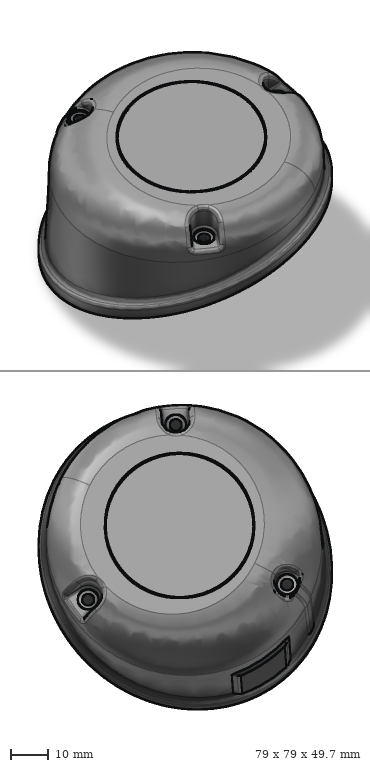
import cadquery as cq
import math


rim_radius = 39.5
rim_tilt = 21.9
rim_thickness = 4.46
rim_top_round = 1.2
rim_bottom_round = 0.5
rim_fillet = 1.9
corner_drop = 0.24

top_z = 49.65
wall_axis_x = 0.4
wall_top_radius = 36.6
wall_draft = 2.0
crown_radius_low_side = 16.0
crown_radius_high_side = 8.7

ring_x = 2.0
ring_y = -0.6
ring_radius = 20.15
ring_width = 0.3
ring_depth = 0.5

screw_hole_radius = 1.6
seat_radius = 2.8
seat_depth = 0.6
pocket_floor_round = 0.5
pocket_mouth_round = 1.3
rib_angle = 180
rib_pocket_floor_z = 43.5
side_pocket_floor_z = 42.35
pockets = [
    (rib_angle, 30.85, rib_pocket_floor_z, 3.45),
    (60, 31.1, side_pocket_floor_z, 3.75),
    (-60, 31.1, side_pocket_floor_z, 3.75),
]

rib_height = 0.22
rib_crest_width = 1.9
rib_foot_width = 3.4
rib_sink = 0.5
rib_end_elevation = 50

panel_angle = 150.6
panel_height = 0.6
panel_crest_width = 15.2
panel_foot_width = 18.7
panel_crest_z = 27.3
panel_foot_z = 29.0
panel_sink = 1.0
panel_corner_round = 1.5
panel_crest_round = 3.0

slope = math.tan(math.radians(rim_tilt))
draft_slope = math.tan(math.radians(wall_draft))
base_mid_z = rim_radius * slope - corner_drop
rim_rise = rim_thickness / math.cos(math.radians(rim_tilt))
below_z = -5.0
reach = 100.0
tolerance = 1e-3
loose_tolerance = 0.02


def wall_radius(z):
    """Radius of the drafted wall at height z."""
    return wall_top_radius + (top_z - z) * draft_slope


def wall_gap(point):
    """Horizontal distance of a point outside the drafted wall, as placed on the part."""
    return math.hypot(point.x - wall_axis_x, point.y) - wall_radius(point.z)


def around_wall(shape, angle):
    """Turn a shape made along +X from the Z axis to its direction around the wall axis."""
    return shape.rotate((0, 0, 0), (0, 0, 1), angle).translate((wall_axis_x, 0, 0))


def wall_plane(distance):
    """Plane whose normal follows the wall's generator, with local x pointing outward."""
    return cq.Plane((distance, 0, 0), (1, 0, draft_slope), (-draft_slope, 0, 1))


def above_base(lift):
    """Everything above the tilted base plane, raised by lift along Z."""
    z_mid = base_mid_z + lift
    return (
        cq.Workplane("XZ", origin=(0, reach, 0))
        .moveTo(-reach, z_mid - reach * slope)
        .lineTo(reach, z_mid + reach * slope)
        .lineTo(reach, 2 * reach)
        .lineTo(-reach, 2 * reach)
        .close()
        .extrude(2 * reach)
    )


def dome():
    """Drafted body whose crown round grows steadily from +X to -X."""
    profile = (
        cq.Workplane("XZ")
        .polyline([
            (0, below_z),
            (wall_radius(below_z), below_z),
            (wall_top_radius, top_z),
            (0, top_z),
        ])
        .close()
    )
    half = profile.revolve(180, (0, 0, 0), (0, 1, 0))
    body = half.union(half.mirror("XZ"), clean=False).val().Solids()[0]
    crown = next(
        e for e in body.Edges()
        if e.geomType() == "CIRCLE" and e.Center().z > top_z - tolerance
    )
    fillet = cq.occ_impl.shapes.BRepFilletAPI_MakeFillet(body.wrapped)
    fillet.Add(crown.wrapped)
    contour = 1
    for vertex in crown.Vertices():
        radius = crown_radius_high_side if vertex.X > 0 else crown_radius_low_side
        fillet.SetRadius(radius, contour, vertex.wrapped)
    rounded = cq.Shape.cast(fillet.Shape()).Solids()[0]
    return cq.Workplane(rounded).translate((wall_axis_x, 0, 0))


def flange():
    """Round disc cut parallel to the tilted base plane, with upright sides."""
    disc = cq.Workplane("XY", origin=(0, 0, below_z)).circle(rim_radius).extrude(top_z)
    disc = disc.intersect(above_base(0)).cut(above_base(rim_rise))
    disc = disc.faces("<Z").edges("not %LINE").fillet(rim_bottom_round)
    return disc.faces(">Z").edges("not %LINE").fillet(rim_top_round)


def blend_into_flange(body):
    """Round the inside corner where the wall meets the flange top."""

    def in_corner(point):
        lift = point.z - (base_mid_z + rim_rise + point.x * slope)
        return abs(lift) < tolerance and abs(wall_gap(point)) < tolerance

    corner = [
        e for e in body.edges().vals()
        if all(in_corner(e.positionAt(t)) for t in (0, 0.5, 1))
    ]
    return body.newObject(corner).fillet(rim_fillet)


def cut_pocket(body, angle, screw_distance, floor_z, half_width):
    """Cut a screw pocket that opens outward, with a rounded floor and mouth."""
    slot = (
        cq.Workplane("XY", origin=(screw_distance, 0, floor_z))
        .moveTo(0, half_width)
        .threePointArc((-half_width, 0), (0, -half_width))
        .hLine(reach)
        .vLine(2 * half_width)
        .close()
        .extrude(top_z)
    )
    slot = slot.faces("<Z").edges("not >X").fillet(pocket_floor_round)
    slot = around_wall(slot, angle)
    skin = body.val().Shells()[0]

    def at_mouth(edge):
        middle = cq.Vertex.makeVertex(*edge.positionAt(0.5).toTuple())
        return slot.val().distance(middle) < tolerance and skin.distance(middle) < tolerance

    body = body.cut(slot)
    mouth = [e for e in body.edges().vals() if at_mouth(e)]
    return body.newObject(mouth).fillet(pocket_mouth_round)


def screw_hole(angle, screw_distance, floor_z):
    """Cutter for one screw: a shallow counterbore over a through hole."""
    floor_centre = cq.Workplane("XY", origin=(screw_distance, 0, floor_z))
    seat = floor_centre.circle(seat_radius).extrude(-seat_depth)
    hole = floor_centre.circle(screw_hole_radius).extrude(below_z - floor_z)
    return around_wall(seat.union(hole), angle)


def rib():
    """Low trapezoid rib that follows the wall and the crown arc up to its pocket floor."""
    radius = crown_radius_low_side
    start = math.radians(wall_draft)
    end = math.radians(rib_end_elevation)
    centre_z = top_z - radius
    centre_x = wall_radius(centre_z) - radius / math.cos(start)

    def on_crown(elevation):
        return (
            centre_x + radius * math.cos(elevation),
            centre_z + radius * math.sin(elevation),
        )

    path = (
        cq.Workplane("XZ")
        .moveTo(wall_radius(0), 0)
        .lineTo(*on_crown(start))
        .threePointArc(on_crown((start + end) / 2), on_crown(end))
    )
    widening = (rib_foot_width - rib_crest_width) / rib_height
    half_crest = rib_crest_width / 2
    half_root = (rib_foot_width + widening * rib_sink) / 2
    section = (
        cq.Workplane(wall_plane(wall_radius(0)))
        .polyline([
            (-rib_sink, -half_root),
            (rib_height, -half_crest),
            (rib_height, half_crest),
            (-rib_sink, half_root),
        ])
        .close()
    )
    below_floor = cq.Workplane("XY").box(2 * reach, reach, 2 * rib_pocket_floor_z)
    return around_wall(section.sweep(path).intersect(below_floor), rib_angle)


def panel():
    """Raised panel on the wall with sloped sides, a sloped top and rounded crest edges."""
    buried_rise = (panel_foot_z - panel_crest_z) * panel_sink / panel_height
    ring_top_z = panel_foot_z + buried_rise
    ring = (
        cq.Workplane("XZ")
        .polyline([
            (wall_radius(0) - panel_sink, 0),
            (wall_radius(0) + panel_height, 0),
            (wall_radius(panel_crest_z) + panel_height, panel_crest_z),
            (wall_radius(ring_top_z) - panel_sink, ring_top_z),
        ])
        .close()
        .revolve(360, (0, 0, 0), (0, 1, 0))
    )
    half_crest = panel_crest_width / 2
    half_foot = panel_foot_width / 2
    foot_depth = math.sqrt(wall_radius(0) ** 2 - half_foot ** 2)
    crest_depth = math.sqrt((wall_radius(0) + panel_height) ** 2 - half_crest ** 2)
    inner_depth = foot_depth - panel_sink
    outer_depth = wall_radius(0) + 2 * panel_height
    bar = (
        cq.Workplane(wall_plane(0))
        .polyline([
            (inner_depth, -half_foot),
            (foot_depth, -half_foot),
            (crest_depth, -half_crest),
            (outer_depth, -half_crest),
            (outer_depth, half_crest),
            (crest_depth, half_crest),
            (foot_depth, half_foot),
            (inner_depth, half_foot),
        ])
        .close()
        .extrude(reach)
    )
    block = around_wall(ring.intersect(bar), panel_angle)
    corners = [
        e for e in block.edges().vals()
        if panel_crest_z < e.Center().z < panel_foot_z
    ]
    block = block.newObject(corners).fillet(panel_corner_round)

    def on_crest(point):
        return abs(wall_gap(point) - panel_height) < loose_tolerance

    crest = [
        e for e in block.edges().vals()
        if e.Center().z > tolerance + panel_crest_z / 4
        and all(on_crest(e.positionAt(t)) for t in (0, 0.5, 1))
    ]
    return block.newObject(crest).fillet(panel_crest_round)


def top_groove():
    """Cutter for the narrow ring groove in the flat top."""
    return (
        cq.Workplane("XY", origin=(ring_x, ring_y, top_z))
        .circle(ring_radius)
        .circle(ring_radius - ring_width)
        .extrude(-ring_depth)
    )


body = blend_into_flange(dome().intersect(above_base(0)).union(flange()))
for pocket in pockets:
    body = cut_pocket(body, *pocket)

inside_flange = above_base(rim_rise / 2)
body = body.union(rib().intersect(inside_flange))
body = body.union(panel().intersect(inside_flange))

body = body.cut(top_groove())
for angle, screw_distance, floor_z, _ in pockets:
    body = body.cut(screw_hole(angle, screw_distance, floor_z))

result = body